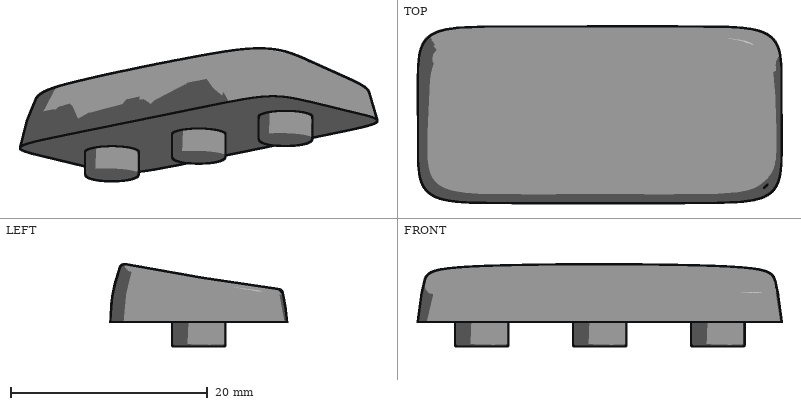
import cadquery as cq
import math

length = 37.05
width = 18.0
body_height = 5.93

sections = [
    (0.0, 0.0, 0.0, 0.0, 9.5, 6.3),
    (2.95, 0.4, 0.45, 0.25, 7.8, 5.1),
    (6.1, 1.2, 1.5, 1.2, 6.5, 4.2),
]
steps_per_arm = 8

top_front_y = -8.45
top_back_y = 8.1
top_front_height = 3.35
top_back_height = 6.05
top_hollow = 0.1
top_arch = 0.4
rim_radius = 0.55

trim_half_length = 22.23
trim_ceiling = 2 * body_height

stud_diameter = 5.5
stud_height = 2.5
stud_spacing = 12.0
stud_edge_radius = 0.22


def superellipse_arm(power, other_power):
    """Points from the middle of one unit side (0, 1) to the corner, as (along, outward) pairs."""
    corner = 0.5 ** (1 / power)
    points = []
    for i in range(steps_per_arm + 1):
        along = corner * math.sin(math.pi / 2 * i / steps_per_arm)
        outward = (1 - along**power) ** (1 / other_power)
        points.append((along, outward))
    return points


def half_outline(half_x, half_y, long_power, end_power):
    """Points of the right half of |x/half_x|^long_power + |y/half_y|^end_power = 1, front to back."""
    end_arm = [(half_x * out, half_y * along) for along, out in superellipse_arm(end_power, long_power)]
    long_arm = [(half_x * along, half_y * out) for along, out in superellipse_arm(long_power, end_power)]
    back_quarter = end_arm + long_arm[-2::-1]
    front_quarter = [(x, -y) for x, y in back_quarter[:0:-1]]
    return front_quarter + back_quarter


def section_wire(height, end_inset, front_inset, back_inset, long_power, end_power):
    """Closed superellipse outline at the given height, joined at the middle of the long sides."""
    half_x = length / 2 - end_inset
    half_y = (width - front_inset - back_inset) / 2
    middle_y = (front_inset - back_inset) / 2
    half = half_outline(half_x, half_y, long_power, end_power)
    right = [cq.Vector(x, middle_y + y, height) for x, y in half]
    left = [cq.Vector(-x, middle_y + y, height) for x, y in reversed(half)]
    toward_right = cq.Vector(1, 0, 0)
    toward_left = cq.Vector(-1, 0, 0)
    return cq.Wire.assembleEdges([
        cq.Edge.makeSpline(right, tangents=[toward_right, toward_left]),
        cq.Edge.makeSpline(left, tangents=[toward_left, toward_right]),
    ])


def crown_height(y):
    """Height of the top face on the centre line, dipping below a straight slope by top_hollow."""
    middle_y = (top_front_y + top_back_y) / 2
    half_span = (top_back_y - top_front_y) / 2
    position = (y - middle_y) / half_span
    middle_height = (top_front_height + top_back_height) / 2
    half_rise = (top_back_height - top_front_height) / 2
    return middle_height + half_rise * position + top_hollow * (position**2 - 1)


def trim_wire(y):
    """Cross-section of the trim block: the arched top face below, a flat ceiling above."""
    crown = crown_height(y)
    edge_height = crown - top_arch * (trim_half_length / (length / 2)) ** 2
    return (
        cq.Workplane("XZ", origin=(0, y, 0))
        .moveTo(-trim_half_length, edge_height)
        .threePointArc((0, crown), (trim_half_length, edge_height))
        .lineTo(trim_half_length, trim_ceiling)
        .lineTo(-trim_half_length, trim_ceiling)
        .close()
        .val()
    )


def make_body():
    """Domed-sided block with the sloping top face and a rounded rim."""
    block = cq.Workplane(cq.Solid.makeLoft([section_wire(*section) for section in sections]))
    trim = cq.Workplane(cq.Solid.makeLoft([trim_wire(y) for y in (-width, 0, width)]))
    return block.cut(trim).faces(">Z").edges().fillet(rim_radius)


def make_studs():
    """Row of three round studs below the base, with rounded lower edges."""
    return (
        cq.Workplane("XY")
        .pushPoints([(-stud_spacing, 0), (0, 0), (stud_spacing, 0)])
        .circle(stud_diameter / 2)
        .extrude(-stud_height)
        .faces("<Z")
        .edges()
        .fillet(stud_edge_radius)
    )


result = make_body().union(make_studs())